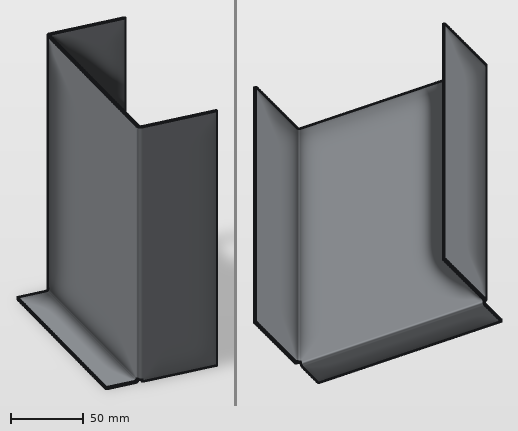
import cadquery as cq

width = 153.0
depth = 83.5
height = 201.5

thickness = 1.51
inner_radius = 1.51
outer_radius = inner_radius + thickness

flange_projection = 23.4
side_depth = depth - flange_projection

flange_width = width - 2 * outer_radius


def make_channel():
    """U-shaped sheet: the web and two side walls joined by rounded bends."""
    outer = (
        cq.Workplane("XY")
        .box(width, side_depth, height - thickness, centered=(True, False, False))
        .edges("|Z and <Y")
        .fillet(outer_radius)
    )
    inner = (
        cq.Workplane("XY")
        .box(width - 2 * thickness, side_depth, height - thickness, centered=(True, False, False))
        .edges("|Z and <Y")
        .fillet(inner_radius)
        .translate((0, thickness, 0))
    )
    return outer.cut(inner).translate((0, 0, thickness))


def make_bend_relief():
    """Block that trims the web and corner bends up to the flange bend line."""
    return cq.Workplane("XY").box(width, outer_radius, outer_radius, centered=(True, False, False))


def make_flange():
    """Bottom flange with the bend that carries it forward from the web."""
    profile = (
        cq.Workplane("YZ")
        .moveTo(thickness, outer_radius)
        .radiusArc((-inner_radius, 0), outer_radius)
        .lineTo(-flange_projection, 0)
        .lineTo(-flange_projection, thickness)
        .lineTo(-inner_radius, thickness)
        .radiusArc((0, outer_radius), -inner_radius)
        .close()
    )
    return profile.extrude(flange_width / 2, both=True)


result = make_channel().cut(make_bend_relief()).union(make_flange())